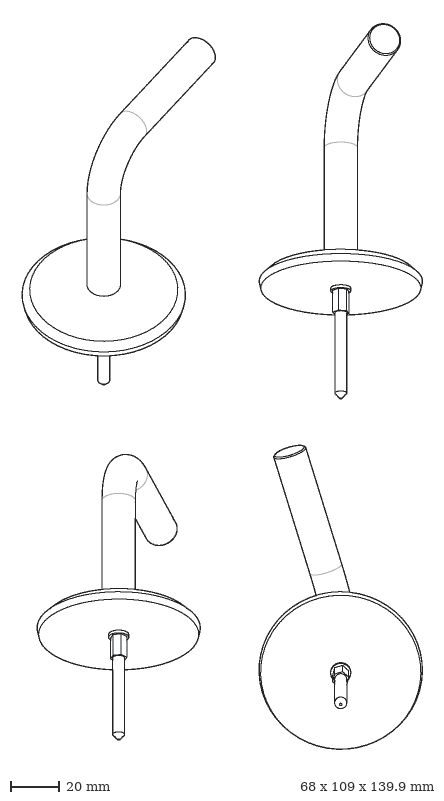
import cadquery as cq
import math


plate_diameter = 68.0
plate_base_diameter = 66.7
dome_diameter = 61.6
rim_edge_height = 3.1
dome_edge_height = 6.1
plate_height = 9.1

rod_diameter = 14.0
leg_length = 53.0
bend_radius = 22.0
rod_end_chamfer = 0.5

collar_diameter = 8.4
collar_height = 1.3
hex_across_flats = 6.0
hex_bottom_depth = 10.9
shank_diameter = 5.0
screw_length = 48.8
tip_length = 2.4
tip_flat_diameter = 1.0


def make_plate():
    """Disc with a flat seat for the rod at the top of its spherical dome."""
    seat_radius = rod_diameter / 2
    dome_radius = dome_diameter / 2
    dome_rise = plate_height - dome_edge_height
    centre_below_dome_edge = (dome_radius**2 - seat_radius**2 - dome_rise**2) / (2 * dome_rise)
    sphere_radius = math.hypot(dome_radius, centre_below_dome_edge)
    mid_radius = (seat_radius + dome_radius) / 2
    mid_height = dome_edge_height - centre_below_dome_edge + math.sqrt(sphere_radius**2 - mid_radius**2)
    return (
        cq.Workplane("XZ")
        .moveTo(0, 0)
        .lineTo(plate_base_diameter / 2, 0)
        .lineTo(plate_diameter / 2, rim_edge_height)
        .lineTo(dome_radius, dome_edge_height)
        .threePointArc((mid_radius, mid_height), (seat_radius, plate_height))
        .lineTo(0, plate_height)
        .close()
        .revolve(360, (0, 0, 0), (0, 1, 0))
    )


def make_rod():
    """Round rod that rises from the plate and bends towards +Y, with a chamfered free end."""
    bend_start = plate_height + leg_length
    path = (
        cq.Workplane("YZ")
        .moveTo(0, plate_height)
        .lineTo(0, bend_start)
        .radiusArc((bend_radius, bend_start + bend_radius), bend_radius)
        .lineTo(bend_radius + leg_length, bend_start + bend_radius)
    )
    rod = cq.Workplane("XY", origin=(0, 0, plate_height)).circle(rod_diameter / 2).sweep(path)
    return rod.faces(">Y").edges().chamfer(rod_end_chamfer)


def make_screw():
    """Collar, hexagon and blunt-pointed shank stacked downwards from the plate."""
    hex_across_corners = hex_across_flats / math.cos(math.radians(30))
    collar = cq.Workplane("XY").circle(collar_diameter / 2).extrude(-collar_height)
    hexagon = cq.Workplane("XY").polygon(6, hex_across_corners).extrude(-hex_bottom_depth)
    shank = (
        cq.Workplane("XZ")
        .moveTo(0, 0)
        .lineTo(shank_diameter / 2, 0)
        .lineTo(shank_diameter / 2, tip_length - screw_length)
        .lineTo(tip_flat_diameter / 2, -screw_length)
        .lineTo(0, -screw_length)
        .close()
        .revolve(360, (0, 0, 0), (0, 1, 0))
    )
    return collar.union(hexagon).union(shank)


plate = make_plate()
rod = make_rod()
screw = make_screw()

result = cq.Compound.makeCompound([plate.val(), rod.val(), screw.val()])